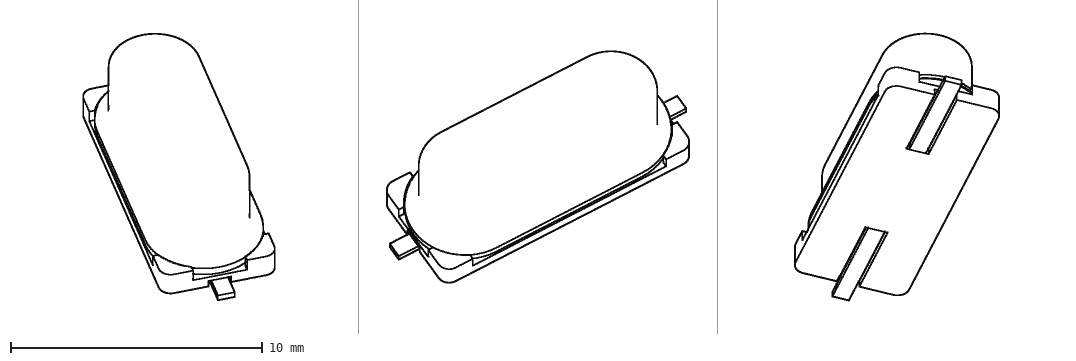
import cadquery as cq

base_length = 11.6
base_width = 4.8
base_height = 1.0
base_corner_radius = 0.5
recess_floor = 0.5
recess_clearance = 0.04
long_notch_length = 9.0
end_notch_width = 2.24

header_top = 0.92
header_top_radius = 0.08
header_bottom_radius = 0.2

overall_height = 4.0
flange_top = 1.2
flange_edge_radius = 0.2
can_width = 3.7
can_top_radius = 0.3
neck_radius = 0.25

overall_length = 13.4
lead_width = 0.7
lead_thickness = 0.25
lead_inner_x = 2.44
lead_slot_width = 0.94
lead_slot_height = 0.3

arc_spacing = base_length - base_width
lead_length = overall_length / 2 - lead_inner_x


def oblong(width, bottom, top):
    """Upright oblong prism with round ends about the shared arc centres."""
    return (
        cq.Workplane("XY")
        .workplane(offset=bottom)
        .slot2D(arc_spacing + width, width)
        .extrude(top - bottom)
    )


def block(length, width, bottom, top):
    """Upright rectangular block centred on the Z axis."""
    return (
        cq.Workplane("XY")
        .workplane(offset=bottom)
        .rect(length, width)
        .extrude(top - bottom)
    )


def end_strip(side, width, height):
    """Flat strip on the ground plane, from the inner lead position out to one end."""
    middle_x = side * (lead_inner_x + lead_length / 2)
    return block(lead_length, width, 0, height).translate((middle_x, 0, 0))


def make_base():
    base = block(base_length, base_width, 0, base_height).edges("|Z").fillet(base_corner_radius)
    recess = oblong(base_width + 2 * recess_clearance, recess_floor, base_height)
    long_notches = block(long_notch_length, base_width, recess_floor, base_height)
    end_notches = block(base_length, end_notch_width, recess_floor, base_height)
    base = base.cut(recess).cut(long_notches).cut(end_notches)
    for side in (-1, 1):
        base = base.cut(end_strip(side, lead_slot_width, lead_slot_height))
    return base


def make_header():
    header = oblong(base_width, recess_floor, header_top)
    header = header.faces("<Z").edges().fillet(header_bottom_radius)
    return header.faces(">Z").edges().fillet(header_top_radius)


def make_lid():
    flange = oblong(base_width, header_top, flange_top)
    flange = flange.faces(">Z").edges().fillet(flange_edge_radius)
    can = oblong(can_width, flange_top, overall_height)
    can = can.faces(">Z").edges().fillet(can_top_radius)
    lid = flange.union(can)
    margin = neck_radius / 2
    reach_x = (arc_spacing + can_width) / 2 + margin
    reach_y = can_width / 2 + margin
    foot_edges = cq.selectors.BoxSelector(
        (-reach_x, -reach_y, flange_top - margin),
        (reach_x, reach_y, flange_top + margin),
        boundingbox=True,
    )
    return lid.edges(foot_edges).fillet(neck_radius)


def make_lead(side):
    return end_strip(side, lead_width, lead_thickness)


base = make_base()
header = make_header()
lid = make_lid()
leads = [make_lead(side) for side in (-1, 1)]

result = cq.Compound.makeCompound(
    [base.val(), header.val(), lid.val(), *[lead.val() for lead in leads]]
)